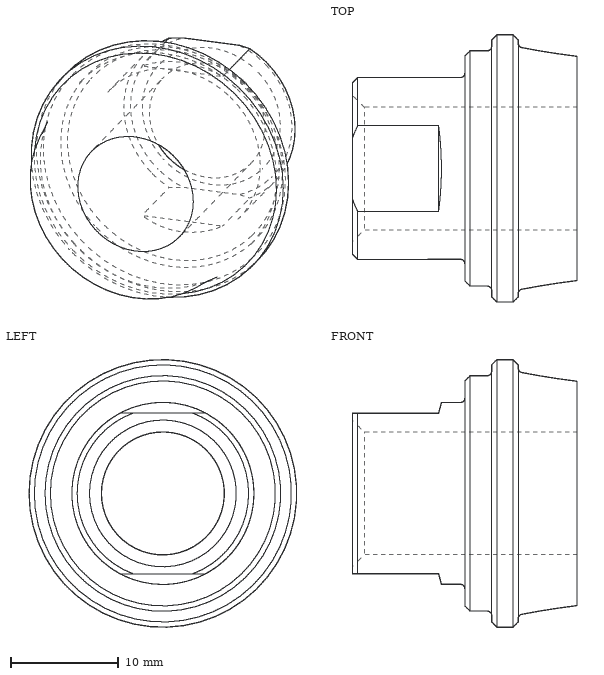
import cadquery as cq
import math

total_length = 21.0
shoulder_start = 10.5
collar_start = 13.0
collar_end = 15.5

spigot_radius = 17.0 / 2
shoulder_radius = 22.0 / 2
collar_radius = 25.0 / 2

chamfer = 0.5
corner_fillet = 0.4

taper_root_radius = 11.3
taper_root_slope = 11.0
taper_tip_slope = 7.0
rim_rounding = 0.15

bore_radius = 11.45 / 2
mouth_radius = 6.85
mouth_depth = mouth_radius - bore_radius

width_across_flats = 15.0
flat_length = 8.05
flat_runout = 0.27


def point_on_circle(center, radius, degrees):
    """Point of a circle in the (axial position, radius) plane, by its angle from +X."""
    angle = math.radians(degrees)
    return (center[0] + radius * math.cos(angle), center[1] + radius * math.sin(angle))


def add_step_fillet(profile, wall_x, floor_radius):
    """Run along a cylinder of floor_radius and fillet up into the wall at wall_x."""
    center = (wall_x - corner_fillet, floor_radius + corner_fillet)
    return profile.lineTo(center[0], floor_radius).threePointArc(
        point_on_circle(center, corner_fillet, -45),
        (wall_x, center[1]),
    )


def add_taper(profile):
    """Add the collar fillet, the hollow taper and the rim rounding, each tangent to the next."""
    root_sin = math.sin(math.radians(taper_root_slope))
    tip_sin = math.sin(math.radians(taper_tip_slope))
    root_angle = 270 - taper_root_slope
    tip_angle = 270 - taper_tip_slope
    rim_angle = 90 - taper_tip_slope

    fillet_center = (
        collar_end + corner_fillet,
        taper_root_radius + corner_fillet * math.cos(math.radians(taper_root_slope)),
    )
    root = point_on_circle(fillet_center, corner_fillet, root_angle)

    tip_x = total_length - rim_rounding * (1 - tip_sin)
    hollow_radius = (tip_x - root[0]) / (root_sin - tip_sin)
    hollow_center = point_on_circle(root, hollow_radius, root_angle - 180)
    tip = point_on_circle(hollow_center, hollow_radius, tip_angle)
    rim_center = point_on_circle(tip, rim_rounding, rim_angle - 180)

    return (
        profile.lineTo(collar_end, fillet_center[1])
        .threePointArc(
            point_on_circle(fillet_center, corner_fillet, (180 + root_angle) / 2),
            root,
        )
        .threePointArc(
            point_on_circle(hollow_center, hollow_radius, (root_angle + tip_angle) / 2),
            tip,
        )
        .threePointArc(
            point_on_circle(rim_center, rim_rounding, rim_angle / 2),
            (total_length, rim_center[1]),
        )
    )


def turned_body():
    """Revolve the half profile (axial position, radius) about the X axis."""
    profile = (
        cq.Workplane("XY")
        .moveTo(0, mouth_radius)
        .lineTo(0, spigot_radius - chamfer)
        .lineTo(chamfer, spigot_radius)
    )
    profile = add_step_fillet(profile, shoulder_start, spigot_radius)
    profile = profile.lineTo(shoulder_start, shoulder_radius - chamfer).lineTo(
        shoulder_start + chamfer, shoulder_radius
    )
    profile = add_step_fillet(profile, collar_start, shoulder_radius)
    profile = (
        profile.lineTo(collar_start, collar_radius - chamfer)
        .lineTo(collar_start + chamfer, collar_radius)
        .lineTo(collar_end - chamfer, collar_radius)
        .lineTo(collar_end, collar_radius - chamfer)
    )
    profile = add_taper(profile)
    profile = (
        profile.lineTo(total_length, bore_radius)
        .lineTo(mouth_depth, bore_radius)
        .close()
    )
    return profile.revolve(360, (0, 0, 0), (1, 0, 0))


def flat_cutter(side):
    """Block that cuts one flat; side is +1 for the top flat and -1 for the bottom one."""
    flat_z = side * width_across_flats / 2
    surface_z = side * spigot_radius
    return (
        cq.Workplane("XZ")
        .moveTo(0, flat_z)
        .lineTo(flat_length, flat_z)
        .lineTo(flat_length + flat_runout, surface_z)
        .lineTo(0, surface_z)
        .close()
        .extrude(spigot_radius, both=True)
    )


result = turned_body()
for flat_side in (1, -1):
    result = result.cut(flat_cutter(flat_side))